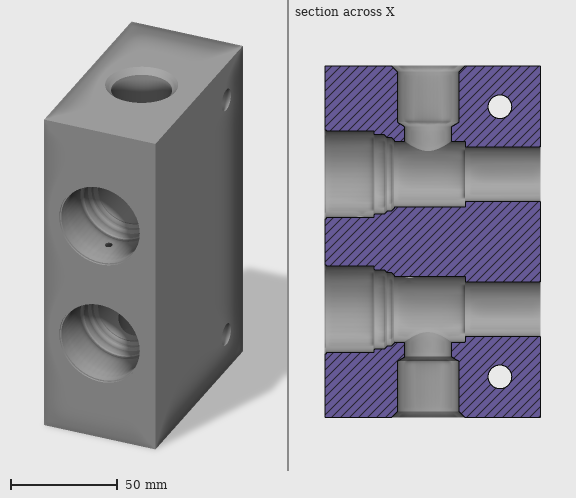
import cadquery as cq
import math

width = 57.1
depth = 101.5
height = 165.1
front_y = -depth / 2

cavity_pitch = 63.4
recess_radius = 20.1
recess_depth = 23.1
spotface_radius = 20.8
spotface_depth = 0.8
thread_radius = 18.5
thread_depth = 28.0
thread_chamfer = 0.5
land_radius = 17.2
land_depth = 31.4
seat_radius = 15.8
bore_radius = 15.4
bore_depth = 66.0
through_radius = 12.7

port_y = -2.1
port_mouth_radius = 17.2
port_thread_radius = 14.4
port_drill_radius = 10.9
port_chamfer_depth = 2.8
port_thread_depth = 26.4
port_depth = (height - cavity_pitch) / 2
drill_point_angle = 118.0

passage_radius = 1.7
passage_x = 3.0
passage_recess_y = -33.5
passage_bore_y = -11.0

mount_radius = 5.5
mount_y = 31.5
mount_pitch = 2 * cavity_pitch


def cavity(center_z):
    """Stepped cutter turned about Y from the front face, narrowing by 45 degree cones."""
    seat_depth = land_depth + land_radius - seat_radius
    profile = [
        (0, 0),
        (spotface_radius, 0),
        (spotface_radius, spotface_depth),
        (recess_radius, spotface_depth),
        (recess_radius, recess_depth),
        (thread_radius + thread_chamfer, recess_depth),
        (thread_radius, recess_depth + thread_chamfer),
        (thread_radius, thread_depth),
        (land_radius, thread_depth + thread_radius - land_radius),
        (land_radius, land_depth),
        (seat_radius, seat_depth),
        (bore_radius, seat_depth),
        (bore_radius, bore_depth),
        (through_radius, bore_depth),
        (through_radius, depth),
        (0, depth),
    ]
    turned = cq.Workplane("XY").polyline(profile).close().revolve(360, (0, 0), (0, 1))
    return turned.translate((0, front_y, center_z))


def top_port():
    """Countersunk thread hole with a drill-point shoulder and a smaller drill below."""
    drill_slope = math.tan(math.radians(drill_point_angle / 2))
    shoulder_depth = port_thread_depth + (port_thread_radius - port_drill_radius) / drill_slope
    profile = [
        (0, 0),
        (port_mouth_radius, 0),
        (port_thread_radius, -port_chamfer_depth),
        (port_thread_radius, -port_thread_depth),
        (port_drill_radius, -shoulder_depth),
        (port_drill_radius, -port_depth),
        (0, -port_depth),
    ]
    turned = cq.Workplane("XZ").polyline(profile).close().revolve(360, (0, 0), (0, 1))
    return turned.translate((0, port_y, height / 2))


def rising_passage():
    """Slanted drilling from the lower cavity's recess up to the upper cavity's bore."""
    recess_wall = cq.Vector(passage_x, passage_recess_y, recess_radius - cavity_pitch / 2)
    bore_wall = cq.Vector(passage_x, passage_bore_y, cavity_pitch / 2 - bore_radius)
    run = bore_wall - recess_wall
    direction = run.normalized()
    overrun = 2 * passage_radius
    start = recess_wall - direction * overrun
    return cq.Workplane(cq.Solid.makeCylinder(passage_radius, run.Length + 2 * overrun, start, direction))


def mounting_hole(center_z):
    return (
        cq.Workplane("YZ", origin=(0, mount_y, center_z))
        .circle(mount_radius)
        .extrude(width, both=True)
    )


result = cq.Workplane("XY").box(width, depth, height)

for side in (-1, 1):
    result = result.cut(cavity(side * cavity_pitch / 2))
    result = result.cut(mounting_hole(side * mount_pitch / 2))

for turn in (0, 180):
    for cutter in (top_port(), rising_passage()):
        result = result.cut(cutter.rotate((0, 0, 0), (0, 1, 0), turn))